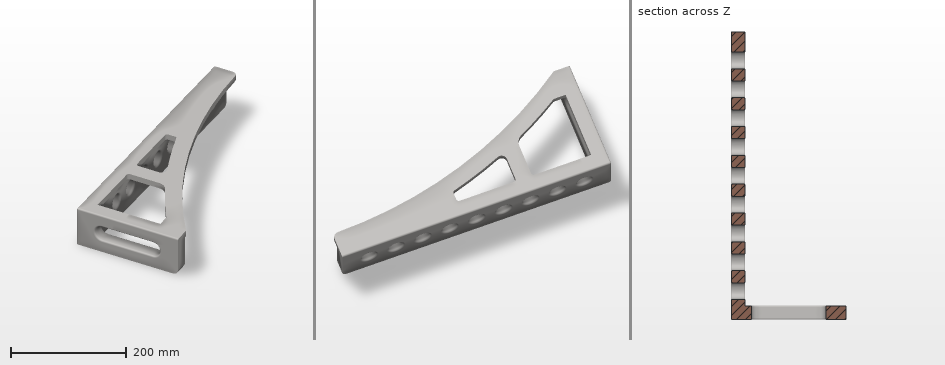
import cadquery as cq
import math

width = 200.0
length = 500.0
height = 75.0

wall_thickness = 25.0
web_thickness = 11.0

edge_radius = 798.5
end_face_length = 30.0
edge_center_x = width + math.sqrt(edge_radius**2 - (length - end_face_length) ** 2)
tip_fillet = 10.0

outer_fillet = 3.0
wall_end_fillet = 10.0

hole_diameter = 28.2
hole_pitch = 50.0
hole_count = 9
mouth_fillet = 3.0
opening_height = height / 2
slot_center_distance = 100.0
slot_length = slot_center_distance + hole_diameter

window_margin = 27.0
window_span = 110.0
rib_width = 29.0
edge_band = 30.0
large_window_width = 123.4
window_edge_radius = edge_radius + edge_band
wall_corner_radius = 5.0
large_rib_corner_radius = 20.0
large_side_corner_radius = 5.0
small_rib_corner_radius = 10.0
small_tip_corner_radius = 5.0


def arc_x(radius, y):
    """X of the concave arc of the given radius at distance y along the long wall."""
    return edge_center_x - math.sqrt(radius**2 - (length - y) ** 2)


def arc_point(radius, y):
    return (arc_x(radius, y), y)


def make_web():
    """Top plate bounded by the two walls and the concave edge."""
    return (
        cq.Workplane("XY", origin=(0, 0, height - web_thickness))
        .lineTo(width, 0)
        .lineTo(width, end_face_length)
        .threePointArc(
            arc_point(edge_radius, (length + end_face_length) / 2),
            arc_point(edge_radius, length),
        )
        .lineTo(0, length)
        .close()
        .extrude(web_thickness)
    )


def round_mouths(wall, face_selector):
    """Round the rims of all openings in the selected face of a wall."""
    face = wall.faces(face_selector).val()
    rims = [edge for wire in face.innerWires() for edge in wire.Edges()]
    return wall.newObject(rims).fillet(mouth_fillet)


def make_long_wall():
    """Wall along Y with a row of holes and the lower corner of its free end rounded."""
    wall = cq.Workplane("XY").box(wall_thickness, length, height, centered=False)
    wall = wall.faces(">Y").edges("<Z").fillet(wall_end_fillet)
    for index in range(hole_count):
        hole_center = (0, hole_pitch * (index + 1), opening_height)
        face = cq.Workplane("YZ", origin=hole_center)
        wall = wall.cut(face.circle(hole_diameter / 2).extrude(wall_thickness))
    return round_mouths(round_mouths(wall, "<X"), ">X")


def make_short_wall():
    """Wall along X with a slot and the lower corner of its free end rounded."""
    wall = cq.Workplane("XY").box(width, wall_thickness, height, centered=False)
    wall = wall.faces(">X").edges("<Z").fillet(wall_end_fillet)
    face = cq.Workplane("XZ", origin=(width / 2, 0, opening_height))
    wall = wall.cut(face.slot2D(slot_length, hole_diameter).extrude(-wall_thickness))
    return round_mouths(round_mouths(wall, "<Y"), ">Y")


def round_corner(window, x, y, radius):
    """Round the upright edge of a window prism nearest to (x, y)."""
    return window.edges(cq.NearestToPointSelector((x, y, height / 2))).fillet(radius)


def make_large_window():
    """Prism of the window next to the short wall."""
    near_y = window_margin
    far_y = near_y + window_span
    right_x = window_margin + large_window_width
    corner_y = length - math.sqrt(window_edge_radius**2 - (edge_center_x - right_x) ** 2)
    window = (
        cq.Workplane("XY")
        .moveTo(window_margin, near_y)
        .lineTo(right_x, near_y)
        .lineTo(right_x, corner_y)
        .threePointArc(
            arc_point(window_edge_radius, (corner_y + far_y) / 2),
            arc_point(window_edge_radius, far_y),
        )
        .lineTo(window_margin, far_y)
        .close()
        .extrude(height)
    )
    window = round_corner(window, window_margin, far_y, wall_corner_radius)
    window = round_corner(window, arc_x(window_edge_radius, far_y), far_y, large_rib_corner_radius)
    return round_corner(window, right_x, corner_y, large_side_corner_radius)


def make_small_window():
    """Prism of the tapered window beyond the rib."""
    near_y = window_margin + window_span + rib_width
    far_y = near_y + window_span
    window = (
        cq.Workplane("XY")
        .moveTo(window_margin, near_y)
        .lineTo(*arc_point(window_edge_radius, near_y))
        .threePointArc(
            arc_point(window_edge_radius, (near_y + far_y) / 2),
            arc_point(window_edge_radius, far_y),
        )
        .lineTo(window_margin, far_y)
        .close()
        .extrude(height)
    )
    window = round_corner(window, window_margin, near_y, wall_corner_radius)
    window = round_corner(window, window_margin, far_y, wall_corner_radius)
    window = round_corner(window, arc_x(window_edge_radius, near_y), near_y, small_rib_corner_radius)
    return round_corner(window, arc_x(window_edge_radius, far_y), far_y, small_tip_corner_radius)


web = make_web().faces(">Y").edges("|Z").edges(">X").fillet(tip_fillet)
result = web.union(make_long_wall()).union(make_short_wall())

result = result.edges("|Z").edges("<X").edges("<Y").fillet(outer_fillet)
outer_top_edges = result.faces(">Z").edges("<X")
result = outer_top_edges.fillet(outer_fillet)

result = result.cut(make_large_window()).cut(make_small_window())